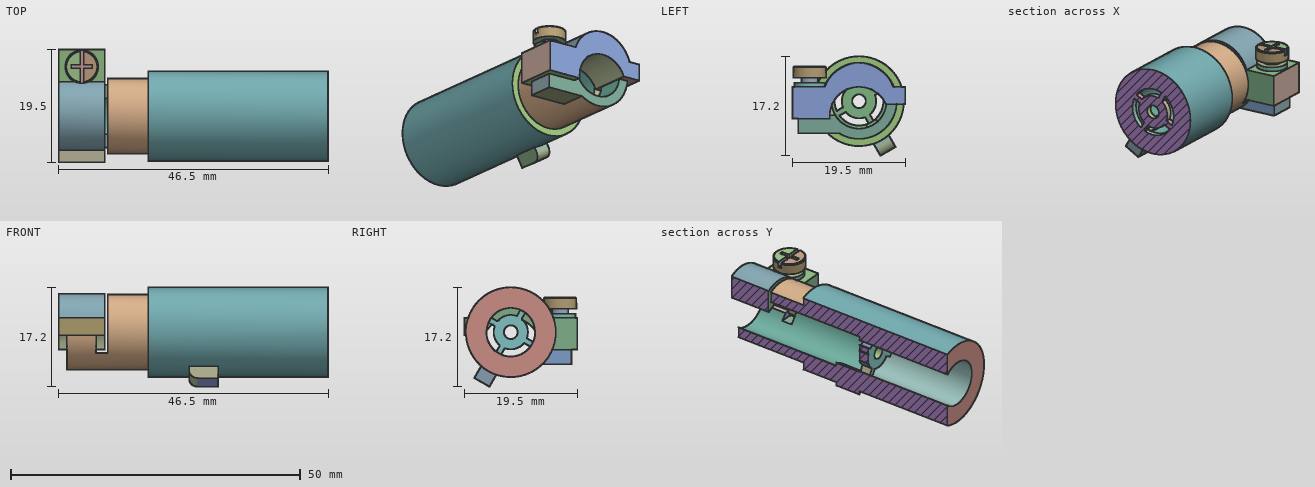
import cadquery as cq
import math


total_length = 46.5
sleeve_radius = 7.75
neck_radius = 6.5
bore_radius = 4.75
inner_radius = 4.2
neck_start = 1.45
sleeve_start = 15.45

clamp_length = 8.0
clamp_top = 6.65
clamp_arc_radius = 6.25
block_top = 2.45
screw_side_y = 11.5
screw_side_bottom = -3.0
plain_side_y = -8.0
plain_side_bottom = -0.5
cable_radius = 5.05
cable_axis_z = block_top - cable_radius

cradle_length = 5.0
cradle_end = neck_start + cradle_length
gap_end = 8.45
gap_floor = -3.6
ledge_z = -2.45
lug_y = 10.5
lug_bottom = -5.55

screw_x = 4.0
screw_y = 8.5
head_radius = 2.85
head_height = 2.0
head_top = 6.0
head_chamfer = 0.2
shank_radius = 1.45
washer_radius = 2.65
washer_top = 3.2
drive_width = 0.6
drive_depth = 0.98
cross_length = 3.6

key_start = 22.5
key_length = 5.0
key_end = key_start + key_length
key_reach = 10.0
key_width = 3.0
key_round = 1.5
stem_width = 2.0
key_angle = 30.0

web_thickness = 2.0
hub_radius = 2.98
hub_hole_radius = 1.15
spoke_width = 0.98
spoke_count = 4


def disc(radius, start, end):
    """Solid cylinder on the X axis between two X positions."""
    return cq.Workplane("YZ").workplane(offset=start).circle(radius).extrude(end - start)


def block(x_range, y_range, z_range):
    """Box given by its limits along each axis."""
    size = [high - low for low, high in (x_range, y_range, z_range)]
    corner = (x_range[0], y_range[0], z_range[0])
    return cq.Workplane("XY").box(*size, centered=False).translate(corner)


def make_body():
    """Sleeve and neck, with the neck end cut down to a cradle and lug."""
    body = disc(neck_radius, neck_start, sleeve_start)
    body = body.union(disc(sleeve_radius, sleeve_start, total_length))
    cradle_x = (neck_start, cradle_end)
    reach = sleeve_radius
    body = body.cut(block(cradle_x, (-reach, 0), (plain_side_bottom, reach)))
    body = body.cut(block(cradle_x, (0, reach), (ledge_z, reach)))
    body = body.cut(block((cradle_end, gap_end), (-reach, reach), (gap_floor, reach)))
    body = body.union(block(cradle_x, (0, lug_y), (lug_bottom, screw_side_bottom)))
    body = body.cut(disc(bore_radius, 0, key_end))
    return body.cut(disc(inner_radius, key_end, total_length))


def make_web():
    """Hub with a centre hole, held by spokes in line with the key."""
    web_end = key_end + web_thickness
    web = disc(hub_radius, key_end, web_end)
    spoke_tip = (inner_radius + bore_radius) / 2
    half_width = spoke_width / 2
    for index in range(spoke_count):
        spoke = block((key_end, web_end), (-half_width, half_width), (-spoke_tip, 0))
        angle = index * 360 / spoke_count - key_angle
        web = web.union(spoke.rotate((0, 0, 0), (1, 0, 0), angle))
    return web.cut(disc(hub_hole_radius, key_end, web_end))


def make_key():
    """Key outside the sleeve, with a narrower stem reaching into the bore."""
    key_x = (key_start, key_end)
    wall_middle = (bore_radius + sleeve_radius) / 2
    key = block(key_x, (-key_width / 2, key_width / 2), (-key_reach, -wall_middle))
    key = key.edges("<X and <Z").fillet(key_round)
    stem = block(key_x, (-stem_width / 2, stem_width / 2), (-wall_middle, -inner_radius))
    return key.union(stem).rotate((0, 0, 0), (1, 0, 0), -key_angle)


def opening_y(z):
    """Half width of the cable opening in the clamp at height z."""
    return math.sqrt(cable_radius**2 - (z - cable_axis_z) ** 2)


def make_clamp():
    """Upper clamp half: arched saddle between two side blocks."""
    arc_axis_z = clamp_top - clamp_arc_radius
    arch_y = math.sqrt(clamp_arc_radius**2 - (block_top - arc_axis_z) ** 2)
    return (
        cq.Workplane("YZ")
        .moveTo(plain_side_y, plain_side_bottom)
        .lineTo(plain_side_y, block_top)
        .lineTo(-arch_y, block_top)
        .threePointArc((0, clamp_top), (arch_y, block_top))
        .lineTo(screw_side_y, block_top)
        .lineTo(screw_side_y, screw_side_bottom)
        .lineTo(opening_y(screw_side_bottom), screw_side_bottom)
        .threePointArc((0, block_top), (-opening_y(plain_side_bottom), plain_side_bottom))
        .close()
        .extrude(clamp_length)
    )


def make_screw():
    """Cheese-head screw with washer, standing on the clamp block."""
    base = cq.Workplane("XY").workplane(offset=block_top)
    head_bottom = head_top - head_height
    screw = base.circle(washer_radius).extrude(washer_top - block_top)
    screw = screw.union(base.circle(shank_radius).extrude(head_bottom - block_top))
    head = cq.Workplane("XY").workplane(offset=head_bottom).circle(head_radius).extrude(head_height)
    screw = screw.union(head.faces(">Z").chamfer(head_chamfer))
    drive = cq.Workplane("XY").workplane(offset=head_top)
    screw = screw.cut(drive.rect(drive_width, 2 * head_radius).extrude(-drive_depth))
    screw = screw.cut(drive.rect(cross_length, drive_width).extrude(-drive_depth))
    return screw.translate((screw_x, screw_y, 0))


result = make_body().union(make_web()).union(make_key()).union(make_clamp()).union(make_screw())